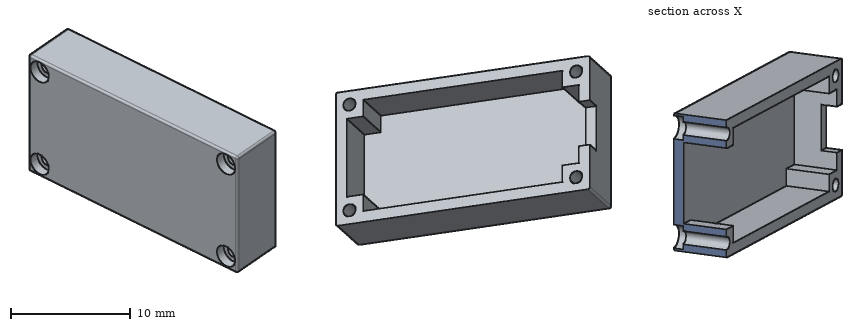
import cadquery as cq

length = 23.0
depth = 5.0
height = 12.0
edge_radius = 0.2

wall = 1.0
floor = 1.0

notch_height = 4.0
notch_depth = 1.5

hole_inset = 1.25
hole_diameter = 1.1
bore_diameter = 2.0
bore_depth = 0.9

post_side = 2 * hole_inset

front_y = -depth / 2
rim_y = depth / 2


def make_shell():
    """Rounded box, hollowed from the +Y side around the corner posts."""
    body = cq.Workplane("XY").box(length, depth, height)
    body = body.edges("|Y").fillet(edge_radius)
    body = body.faces("<Y").edges().fillet(edge_radius)
    cavity_depth = depth - floor
    cavity = (
        cq.Workplane("XY")
        .box(length - 2 * wall, cavity_depth, height - 2 * wall)
        .translate((0, floor / 2, 0))
    )
    posts = (
        cq.Workplane("XZ", origin=(0, rim_y, 0))
        .rect(length - 2 * hole_inset, height - 2 * hole_inset, forConstruction=True)
        .vertices()
        .rect(post_side, post_side)
        .extrude(cavity_depth)
    )
    return body.cut(cavity.cut(posts))


def make_notch():
    """Block that opens the -X wall at the rim."""
    return (
        cq.Workplane("XY")
        .box(wall, notch_depth, notch_height)
        .translate((-length / 2 + wall / 2, rim_y - notch_depth / 2, 0))
    )


def make_corner_cylinders(diameter, cylinder_depth):
    """Cylinders at the screw positions, running inward from the front face."""
    return (
        cq.Workplane("XZ", origin=(0, front_y, 0))
        .rect(length - 2 * hole_inset, height - 2 * hole_inset, forConstruction=True)
        .vertices()
        .circle(diameter / 2)
        .extrude(-cylinder_depth)
    )


screw_holes = make_corner_cylinders(hole_diameter, depth)
counterbores = make_corner_cylinders(bore_diameter, bore_depth)
result = make_shell().cut(make_notch()).cut(screw_holes).cut(counterbores)